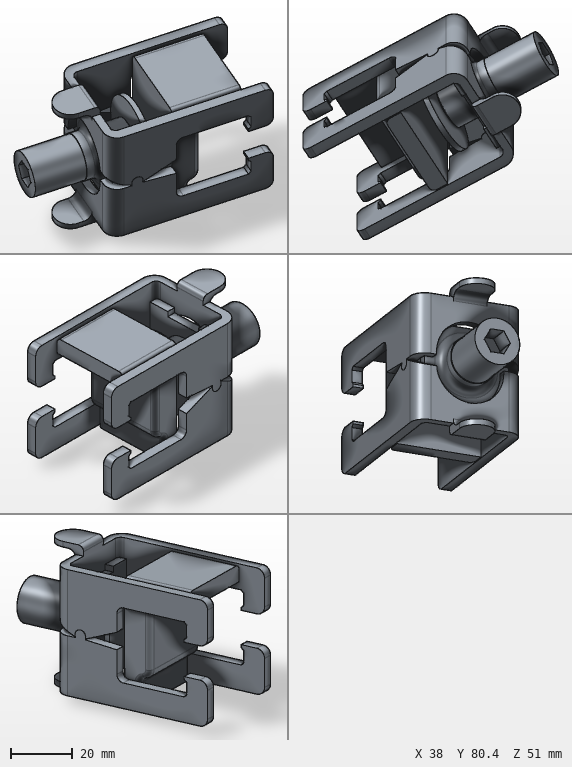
import cadquery as cq
import math


strap_width = 38.0
strap_length = 59.0
jaw_height = 21.95
arm_thickness = 3.7
front_thickness = 3.0
bend_outer_radius = 5.15
bend_inner_radius = 2.0

end_corner_radius = 3.0
hook_bottom = 5.95
lip_end = 50.0
lip_height = 1.0
hook_bevel = 1.0
cavity_front = 24.1
cavity_height = 13.0
cavity_radius = 2.5

hinge_y = 10.05
hinge_radius = 2.0
hinge_neck = 1.05
socket_crest = 0.8
pin_side_back = 2.0
socket_side_front = 3.0
socket_side_back = 4.1

opening_radius = 12.0
opening_offset = 2.0

tab_width = 12.0
tab_thickness = 2.0
tab_reach = 10.9
tab_top = 25.5
tab_inner_radius = 3.0
tab_outer_radius = 2.0

plate_width = 29.9
plate_height = 29.9
plate_thickness = 3.2
notch_width = 13.8
notch_depth = 2.0
collar_diameter = 16.5
collar_length = 2.9
collar_flare = 3.0

screw_diameter = 16.0
screw_front = 21.4
shoulder_y = 15.5
neck_diameter = 13.5
neck_end = 16.1
disc_diameter = 30.2
disc_front = 16.8
disc_back = 18.7
hex_flats = 7.95
hex_depth = 8.0

block_width = 29.9
block_front = 24.5
block_top = jaw_height
block_slab_back = 49.5
block_slab_thickness = 6.0
block_leg_back = 34.6
block_toe_thickness = 6.0
block_round = 2.0
heel_start = 8.6
heel_radius = 3.6
heel_turn = math.radians(77)

select_margin = 0.1


def side_plane(x):
    """Plane at a given x whose local axes are Y and Z."""
    return cq.Workplane("YZ", origin=(x, 0, 0))


def rounded_channel_block(width, front_y, corner_radius):
    """Block running back from front_y, with its two upright front edges rounded."""
    height = jaw_height + 2 * hinge_radius
    return (
        cq.Workplane("XY", origin=(0, front_y, -2 * hinge_radius))
        .box(width, strap_length, height, centered=(True, False, False))
        .edges("|Z and <Y")
        .fillet(corner_radius)
    )


def strap():
    """U-shaped strap around the screw, reaching down past the hinge."""
    outside = rounded_channel_block(strap_width, 0, bend_outer_radius)
    inside = rounded_channel_block(strap_width - 2 * arm_thickness, front_thickness, bend_inner_radius)
    return outside.cut(inside)


def arm_side(x, front_z, hinge_z, back_z):
    """Half-width slab with the side outline of a jaw; its lower edge passes through the given heights."""
    hook_inner = lip_end + hook_bevel
    bevel_top = hook_bottom + lip_height + hook_bevel
    return (
        side_plane(x)
        .moveTo(0, jaw_height)
        .lineTo(0, front_z)
        .lineTo(hinge_y - hinge_radius, hinge_z)
        .lineTo(hinge_y + hinge_radius, hinge_z)
        .lineTo(cavity_front, back_z)
        .lineTo(cavity_front, cavity_height - cavity_radius)
        .radiusArc((cavity_front + cavity_radius, cavity_height), cavity_radius)
        .lineTo(lip_end, cavity_height)
        .lineTo(hook_inner, cavity_height - hook_bevel)
        .lineTo(hook_inner, bevel_top)
        .lineTo(lip_end, hook_bottom + lip_height)
        .lineTo(lip_end, hook_bottom)
        .lineTo(strap_length, hook_bottom)
        .lineTo(strap_length, jaw_height)
        .close()
        .extrude(strap_width / 2)
        .edges("|X and >Y")
        .fillet(end_corner_radius)
    )


def hinge_key(x):
    """Round-ended key that forms a hinge pin."""
    pin = side_plane(x).center(hinge_y, 0).circle(hinge_radius).extrude(strap_width / 2)
    neck = (
        side_plane(x)
        .center(hinge_y, hinge_neck / 2)
        .rect(2 * hinge_radius, hinge_neck)
        .extrude(strap_width / 2)
    )
    return pin.union(neck)


def screw_opening():
    """Upper half of the oblong opening, open downward past the parting edges of the front wall."""
    depth = 4 * hinge_radius
    cutter = cq.Workplane("XZ", origin=(0, front_thickness, 0))
    round_top = cutter.center(0, opening_offset).circle(opening_radius).extrude(front_thickness)
    straight = (
        cutter.center(0, opening_offset - depth / 2)
        .rect(2 * opening_radius, depth)
        .extrude(front_thickness)
    )
    return round_top.union(straight)


def tab():
    """Finger tab bent forward from the top of the front wall, with a round free end."""
    underside = tab_top - tab_thickness
    bend_start = underside - tab_inner_radius
    arm = (
        side_plane(-tab_width / 2)
        .moveTo(front_thickness, bend_start)
        .lineTo(front_thickness, tab_top - tab_outer_radius)
        .radiusArc((front_thickness - tab_outer_radius, tab_top), -tab_outer_radius)
        .lineTo(-tab_reach, tab_top)
        .lineTo(-tab_reach, underside)
        .lineTo(-tab_inner_radius, underside)
        .radiusArc((0, bend_start), tab_inner_radius)
        .close()
        .extrude(tab_width)
    )
    end_radius = tab_width / 2
    outline = (
        cq.Workplane("XY", origin=(0, 0, bend_start))
        .moveTo(-end_radius, front_thickness)
        .lineTo(-end_radius, end_radius - tab_reach)
        .threePointArc((0, -tab_reach), (end_radius, end_radius - tab_reach))
        .lineTo(end_radius, front_thickness)
        .close()
        .extrude(tab_top - bend_start)
    )
    return arm.intersect(outline)


def plate_blank():
    """Plain rectangular plate lying against the back of the front wall."""
    back = front_thickness + plate_thickness
    return cq.Workplane("XZ", origin=(0, back, 0)).rect(plate_width, plate_height).extrude(plate_thickness)


def make_jaw():
    """Upper jaw, with its hinge pin on the -X arm and its socket on the +X arm."""
    pin_side = arm_side(-strap_width / 2, hinge_neck, hinge_neck, pin_side_back)
    pin_side = pin_side.union(hinge_key(-strap_width / 2))
    socket_side = arm_side(0, socket_side_front, -socket_crest, socket_side_back)
    mating_pin = hinge_key(-strap_width / 2).rotate((0, 0, 0), (0, 1, 0), 180)
    socket_side = socket_side.cut(mating_pin)
    jaw = pin_side.union(socket_side).intersect(strap()).cut(screw_opening()).union(tab())
    return jaw.cut(plate_blank())


def make_plate():
    """Notched plate behind the front wall, with a flared collar through the opening."""
    back = front_thickness + plate_thickness
    plate = plate_blank()
    for side in (-1, 1):
        notch = (
            cq.Workplane("XZ", origin=(0, back, side * plate_height / 2))
            .rect(notch_width, 2 * notch_depth)
            .extrude(plate_thickness)
        )
        plate = plate.cut(notch)
    collar_radius = collar_diameter / 2
    collar = (
        cq.Workplane("XY")
        .moveTo(0, front_thickness)
        .lineTo(collar_radius + collar_flare, front_thickness)
        .radiusArc((collar_radius, front_thickness - collar_flare), -collar_flare)
        .lineTo(collar_radius, -collar_length)
        .lineTo(0, -collar_length)
        .close()
        .revolve(360, (0, 0, 0), (0, 1, 0))
    )
    bore = cq.Workplane("XZ", origin=(0, back, 0)).circle(screw_diameter / 2).extrude(back + collar_length)
    return plate.union(collar).cut(bore)


def make_screw():
    """Screw with a hexagon socket in front and a pressure disc at its end."""
    screw = (
        cq.Workplane("XY")
        .polyline([
            (0, -screw_front),
            (screw_diameter / 2, -screw_front),
            (screw_diameter / 2, shoulder_y),
            (neck_diameter / 2, shoulder_y),
            (neck_diameter / 2, neck_end),
            (disc_diameter / 2, disc_front),
            (disc_diameter / 2, disc_back),
            (0, disc_back),
        ])
        .close()
        .revolve(360, (0, 0, 0), (0, 1, 0))
    )
    hex_corners = hex_flats / math.cos(math.pi / 6)
    socket = (
        cq.Workplane("XZ", origin=(0, hex_depth - screw_front, 0))
        .polygon(6, hex_corners)
        .extrude(hex_depth)
    )
    return screw.cut(socket)


def make_block():
    """Pressure block: a top slab and a leg that steps back to a thinner toe."""
    heel_tip = (
        block_leg_back - heel_radius * (1 - math.cos(heel_turn)),
        -heel_start - heel_radius * math.sin(heel_turn),
    )
    toe_back = block_front + block_toe_thickness
    toe_start = (
        toe_back,
        heel_tip[1] - (heel_tip[0] - toe_back) / math.tan(heel_turn / 2),
    )
    toe_arc_radius = (heel_tip[0] - toe_back) / (1 - math.cos(heel_turn))
    leg = (
        side_plane(-block_width / 2)
        .moveTo(block_front, block_top)
        .lineTo(block_leg_back, block_top)
        .lineTo(block_leg_back, -heel_start)
        .radiusArc(heel_tip, heel_radius)
        .radiusArc(toe_start, -toe_arc_radius)
        .lineTo(toe_back, -block_top)
        .lineTo(block_front, -block_top)
        .close()
        .extrude(block_width)
    )
    leg_back_edges = cq.selectors.BoxSelector(
        (-block_width, toe_back - select_margin, select_margin - block_top),
        (block_width, block_leg_back + select_margin, block_top - select_margin),
    )
    leg = leg.edges("<X or >X").edges(leg_back_edges).fillet(block_round)
    slab_length = block_slab_back - block_front
    slab = cq.Workplane("XY", origin=(0, block_front, block_top - block_slab_thickness)).box(
        block_width, slab_length, block_slab_thickness, centered=(True, False, False)
    )
    return leg.union(slab).edges("|Y and >Z").fillet(block_round)


upper_jaw = make_jaw()
lower_jaw = upper_jaw.rotate((0, 0, 0), (0, 1, 0), 180)
plate = make_plate()
screw = make_screw()
block = make_block()

bodies = [upper_jaw, lower_jaw, plate, screw, block]
result = cq.Compound.makeCompound([body.solids().val() for body in bodies])